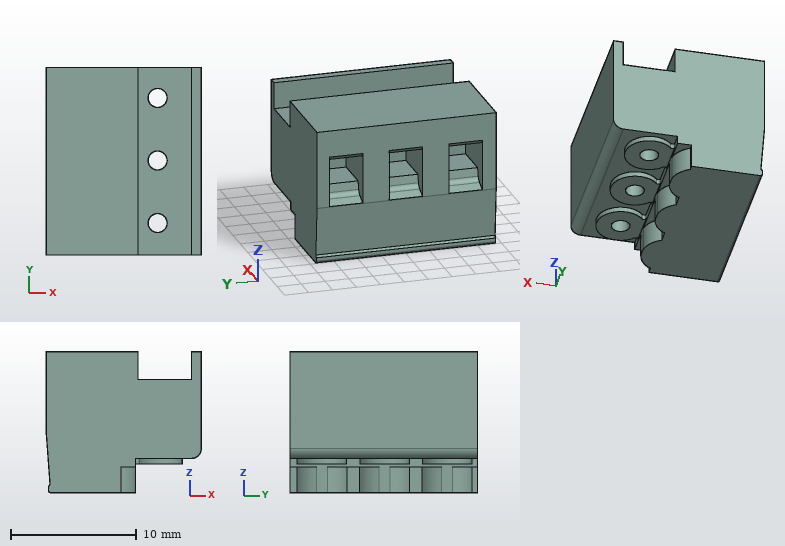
import cadquery as cq
import math


depth = 12.4
width = 15.0
height = 11.3

pole_count = 3
pole_pitch = width / pole_count
pole_offset = 0.06

main_top_depth = 7.35
rear_wall = 0.8
slot_depth = 2.22
rear_corner_radius = 0.8

foot_end_x = 7.15
underside_z = 2.75

taper_top_z = 4.78
taper_end_x = 0.3
taper_end_z = 0.69
bead_x = 0.18
bead_top_z = 0.5
bead_radius = 0.2

lobe_height = 2.07
lobe_root_x = 6.0
lobe_radius = 2.28
lobe_centre_x = 4.92

entry_width = 2.78
entry_top_z = 9.06
entry_floor_z = 4.83
floor_slope_end = (0.75, 5.18)
ledge_foot = (1.11, 5.58)
ledge_top = (1.28, 6.25)
ceiling_chamfer_end = (0.14, 8.82)
ceiling_back_z = 8.76
entry_depth = 4.5

screw_x = 8.91
screw_hole_diameter = 1.5
pad_radius = 1.98
pad_height = 0.44
pad_root_radius = 0.18


def along_y(profile, length, centre_y):
    """Extrude an XZ profile along Y, centred on centre_y."""
    return profile.extrude(length / 2, both=True).translate((0, centre_y, 0))


def make_body():
    slot_floor_z = height - slot_depth
    rear_wall_x = depth - rear_wall
    bead_arc_middle = bead_radius * (1 - math.sqrt(0.5))
    rear_arc_middle = rear_corner_radius * (1 - math.sqrt(0.5))
    profile = (
        cq.Workplane("XZ")
        .moveTo(0, height)
        .lineTo(0, taper_top_z)
        .lineTo(taper_end_x, taper_end_z)
        .lineTo(bead_x, bead_top_z)
        .lineTo(bead_x, bead_radius)
        .threePointArc((bead_x + bead_arc_middle, bead_arc_middle), (bead_x + bead_radius, 0))
        .lineTo(foot_end_x, 0)
        .lineTo(foot_end_x, underside_z)
        .lineTo(depth - rear_corner_radius, underside_z)
        .threePointArc(
            (depth - rear_arc_middle, underside_z + rear_arc_middle),
            (depth, underside_z + rear_corner_radius),
        )
        .lineTo(depth, height)
        .lineTo(rear_wall_x, height)
        .lineTo(rear_wall_x, slot_floor_z)
        .lineTo(main_top_depth, slot_floor_z)
        .lineTo(main_top_depth, height)
        .close()
    )
    return along_y(profile, width, 0)


def make_lobe_clearance(pole_ys):
    """Everything at the end of the foot that lies outside the rounded lobes."""
    clearance = cq.Workplane("XY", origin=(lobe_root_x, 0, 0)).box(
        foot_end_x - lobe_root_x, width, lobe_height, centered=(False, True, False)
    )
    for y in pole_ys:
        lobe = cq.Workplane("XY").center(lobe_centre_x, y).circle(lobe_radius).extrude(lobe_height)
        clearance = clearance.cut(lobe)
    return clearance


def make_wire_entry(y):
    profile = (
        cq.Workplane("XZ")
        .moveTo(0, entry_floor_z)
        .lineTo(*floor_slope_end)
        .tangentArcPoint(ledge_foot, relative=False)
        .lineTo(*ledge_top)
        .lineTo(entry_depth, ledge_top[1])
        .lineTo(entry_depth, ceiling_back_z)
        .lineTo(*ceiling_chamfer_end)
        .lineTo(0, entry_top_z)
        .close()
    )
    return along_y(profile, entry_width, y)


def make_pad(y):
    """Round pad whose sides run into the foot wall through small root fillets."""
    pad_z = underside_z - pad_height
    root_dx = screw_x - foot_end_x - pad_root_radius
    root_reach = pad_radius + pad_root_radius
    root_dy = math.sqrt(root_reach**2 - root_dx**2)
    touch_x = screw_x - root_dx * pad_radius / root_reach

    pad = cq.Workplane("XY", origin=(screw_x, y, pad_z)).circle(pad_radius).extrude(pad_height)
    root = cq.Workplane("XY", origin=(foot_end_x, y, pad_z)).box(
        touch_x - foot_end_x, 2 * root_dy, pad_height, centered=(False, True, False)
    )
    for side in (-1, 1):
        relief = (
            cq.Workplane("XY", origin=(screw_x - root_dx, y + side * root_dy, pad_z))
            .circle(pad_root_radius)
            .extrude(pad_height)
        )
        root = root.cut(relief)
    return pad.union(root)


def make_screw_hole(y):
    return cq.Workplane("XY").center(screw_x, y).circle(screw_hole_diameter / 2).extrude(height)


pole_ys = [pole_offset + (i - (pole_count - 1) / 2) * pole_pitch for i in range(pole_count)]

result = make_body().cut(make_lobe_clearance(pole_ys))
for pole_y in pole_ys:
    result = result.union(make_pad(pole_y))
    result = result.cut(make_wire_entry(pole_y))
    result = result.cut(make_screw_hole(pole_y))